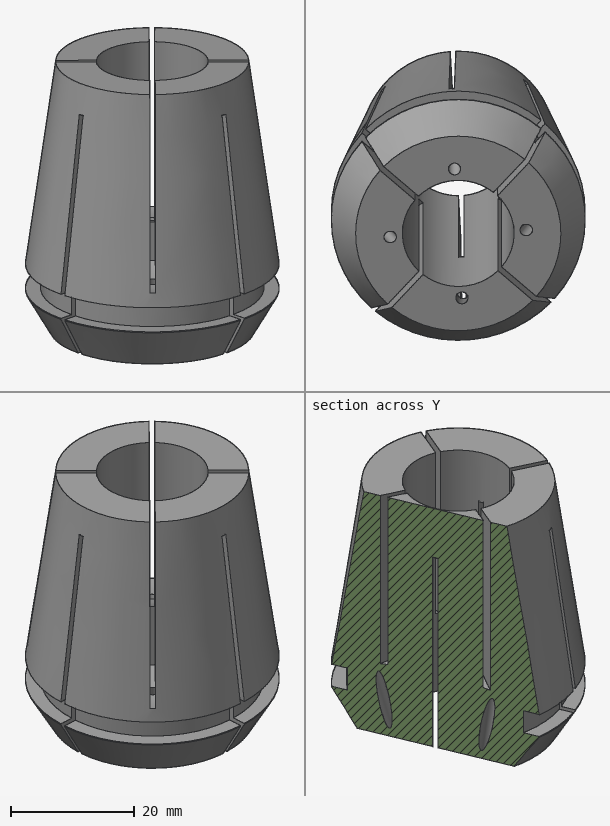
import cadquery as cq
import math

height = 46.0
rim_diameter = 41.0
rim_radius = rim_diameter / 2
bore_radius = 9.0
cone_base_z = 11.15
cone_angle = 8.0
rim_top_z = 7.0
rim_land = 0.2
neck_radius = 18.05
nose_angle = 30.0

slot_count = 4
slot_width = 0.87
blade_radius = 19.05
nose_blade_reach = 22.45
nose_blade_z = 22.95
top_blade_reach = 16.95
top_blade_z = 32.3

hole_diameter = 1.95
hole_angle = 15.0
hole_nose_reach = 11.0
hole_top_z = 13.85

overrun = 0.9


def body():
    """Revolved collet: clamping cone, neck groove, rim and tapered nose around the bore."""
    top_radius = rim_radius - (height - cone_base_z) * math.tan(math.radians(cone_angle))
    rim_base_z = rim_top_z - rim_land
    nose_radius = rim_radius - rim_base_z * math.tan(math.radians(nose_angle))
    outline = [
        (bore_radius, 0),
        (nose_radius, 0),
        (rim_radius, rim_base_z),
        (rim_radius, rim_top_z),
        (neck_radius, rim_top_z),
        (neck_radius, cone_base_z),
        (rim_radius, cone_base_z),
        (top_radius, height),
        (bore_radius, height),
    ]
    return cq.Workplane("XZ").polyline(outline).close().revolve(360, (0, 0, 0), (0, 1, 0))


def saw_slot(blade_reach, blade_z, end_side, open_z):
    """Cutter for a radial slot whose end is a blade arc.

    end_side is +1 when the arc is the top of the blade and -1 when it is the bottom.
    """
    inner = bore_radius / 2
    outer = rim_radius + overrun
    middle = (inner + outer) / 2

    def end_z(radius):
        return blade_z + end_side * math.sqrt(blade_radius ** 2 - (radius - blade_reach) ** 2)

    return (
        cq.Workplane("XZ")
        .moveTo(inner, open_z)
        .lineTo(inner, end_z(inner))
        .threePointArc((middle, end_z(middle)), (outer, end_z(outer)))
        .lineTo(outer, open_z)
        .close()
        .extrude(slot_width / 2, both=True)
    )


def slanted_hole():
    """Cutter for a hole that leans outward from the nose face to the slot floor."""
    slant = math.radians(hole_angle)
    start = cq.Vector(hole_nose_reach - overrun * math.tan(slant), 0, -overrun)
    direction = cq.Vector(math.sin(slant), 0, math.cos(slant))
    length = (hole_top_z + overrun) / math.cos(slant)
    return cq.Workplane(cq.Solid.makeCylinder(hole_diameter / 2, length, start, direction))


def turned(cutter, angle):
    return cutter.rotate((0, 0, 0), (0, 0, 1), angle)


nose_slot = saw_slot(nose_blade_reach, nose_blade_z, 1, -overrun)
top_slot = saw_slot(top_blade_reach, top_blade_z, -1, height + overrun)
hole = slanted_hole()
pitch = 360 / slot_count

result = body()
for index in range(slot_count):
    nose_turn = index * pitch
    top_turn = nose_turn + pitch / 2
    result = result.cut(turned(nose_slot, nose_turn))
    result = result.cut(turned(top_slot, top_turn))
    result = result.cut(turned(hole, top_turn))